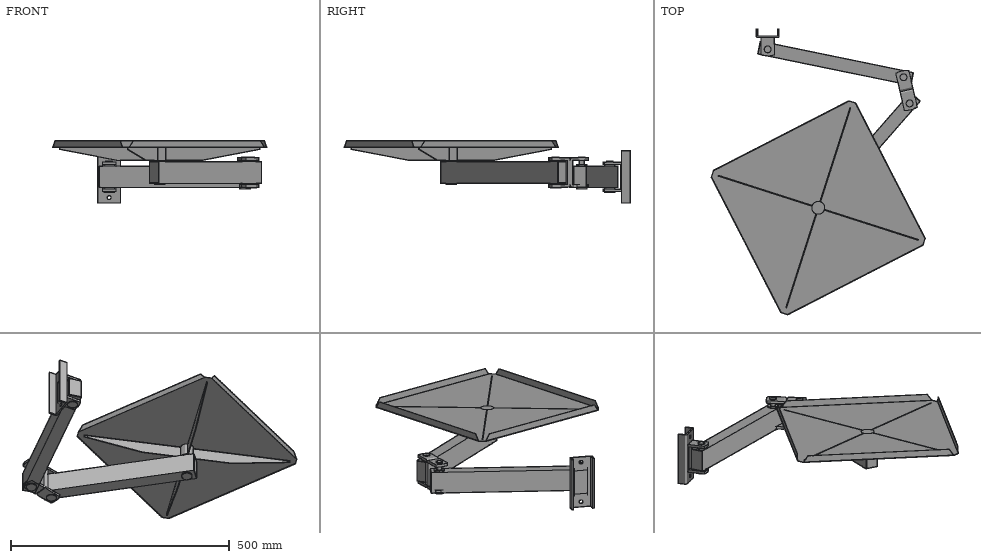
import cadquery as cq
import math

channel_width = 53.0
channel_depth = 20.0
channel_height = 120.0
channel_sheet = 4.0
channel_hole_diameter = 8.5
channel_hole_inset = 12.5

arm_span = 317.0
arm_overhang = 20.0
arm_width = 30.0
arm_height = 50.0
arm_end_chamfer = 1.0
bush_diameter = 24.0
bush_height = 3.0

fork_sheet = 6.0
fork_width = 31.0
fork_tip = 15.0
fork_tip_rise = 2.5
fork_reach = 31.0
pin_diameter = 12.0
pin_cap_diameter = 16.0
pin_head_diameter = 23.5
pin_end_height = 2.0
fork_inside = arm_height + 2 * bush_height
fork_outside = fork_inside + 2 * fork_sheet

tray_side = 371.5
tray_corner_chamfer = 12.0
tray_sheet = 1.0
rib_thickness = 2.0
flange_height = 16.0
flange_end_taper = 11.0
tube_diameter = 29.5
tube_length = 29.5
rib_half_length = 240.0
rib_half_flat = 103.5
rib_end_height = 4.5

first_arm_angle = -11.6
link_angle = -76.9
second_arm_angle = -131.2
tray_angle = 27.2
first_arm_level = channel_height / 2
second_arm_level = 70.0


def step(point, length, angle):
    """The point reached from `point` by going `length` in direction `angle`."""
    heading = math.radians(angle)
    return (point[0] + length * math.cos(heading), point[1] + length * math.sin(heading))


wall_pivot = (0, 0)
elbow_pivot = step(wall_pivot, arm_span, first_arm_angle)
link_pivot = step(elbow_pivot, 2 * fork_reach, link_angle)
tray_pivot = step(link_pivot, arm_span, second_arm_angle)
tube_bottom = second_arm_level + arm_height / 2 + bush_height


def placed(body, point, level, angle):
    """Turn a body about its own pivot axis and move that axis to a point."""
    return body.rotate((0, 0, 0), (0, 0, 1), angle).translate((point[0], point[1], level))


def disc(diameter, bottom, height):
    """Upright cylinder on the Z axis."""
    return cq.Workplane("XY").workplane(offset=bottom).circle(diameter / 2).extrude(height)


def make_channel():
    """Rail with sharp inner and rounded outer bends, and a screw hole near each end."""
    front = fork_reach - channel_sheet
    channel = (
        cq.Workplane("XY")
        .box(channel_width, channel_depth, channel_height, centered=(True, False, False))
        .edges("|Z and <Y")
        .fillet(channel_sheet)
    )
    hollow = (
        cq.Workplane("XY")
        .box(channel_width - 2 * channel_sheet, channel_depth, channel_height, centered=(True, False, False))
        .translate((0, channel_sheet, 0))
    )
    hole_levels = (channel_hole_inset, channel_height - channel_hole_inset)
    holes = (
        cq.Workplane("XZ")
        .pushPoints([(0, level) for level in hole_levels])
        .circle(channel_hole_diameter / 2)
        .extrude(-channel_depth)
    )
    return channel.cut(hollow).cut(holes).translate((0, front, 0))


def make_arm():
    """Bar along +X from one pivot to the next, centred in height."""
    arm = (
        cq.Workplane("XY")
        .box(arm_span + 2 * arm_overhang, arm_width, arm_height)
        .faces("<X or >X")
        .edges()
        .chamfer(arm_end_chamfer)
        .translate((arm_span / 2, 0, 0))
    )
    bush = disc(bush_diameter, -fork_inside / 2, fork_inside)
    return arm.union(bush).union(bush.translate((arm_span, 0, 0)))


def make_fork(has_head):
    """C bracket with its back at +X, and a pin across its two tabs on the Z axis."""
    shoulder = fork_tip - fork_tip_rise
    outline = (
        cq.Workplane("XY")
        .workplane(offset=-fork_outside / 2)
        .moveTo(fork_reach, -fork_width / 2)
        .lineTo(-shoulder, -fork_width / 2)
        .threePointArc((-fork_tip, 0), (-shoulder, fork_width / 2))
        .lineTo(fork_reach, fork_width / 2)
        .close()
        .extrude(fork_outside)
        .edges("|Y and >X")
        .fillet(fork_sheet)
    )
    mouth_length = fork_reach + fork_tip
    mouth = (
        cq.Workplane("XY")
        .box(mouth_length, fork_width, fork_inside)
        .translate((fork_reach - fork_sheet - mouth_length / 2, 0, 0))
    )
    fork = outline.cut(mouth)
    fork = fork.union(disc(pin_diameter, -fork_outside / 2, fork_outside))
    fork = fork.union(disc(pin_cap_diameter, fork_outside / 2, pin_end_height))
    if has_head:
        fork = fork.union(disc(pin_head_diameter, -fork_outside / 2 - pin_end_height, pin_end_height))
    return fork


def make_link():
    """Two forks joined back to back, with pins at the origin and further along +X."""
    elbow_fork = make_fork(False)
    far_fork = placed(make_fork(True), (2 * fork_reach, 0), 0, 180)
    return elbow_fork.union(far_fork)


def make_flange():
    """Upright flange along the -Y side of the tray, with tapered ends."""
    half_bottom = tray_side / 2 - tray_corner_chamfer
    half_top = half_bottom - flange_end_taper
    return (
        cq.Workplane("XZ")
        .polyline([
            (-half_bottom, 0),
            (half_bottom, 0),
            (half_top, flange_height),
            (-half_top, flange_height),
        ])
        .close()
        .extrude(tray_sheet)
        .translate((0, tray_sheet - tray_side / 2, tube_length))
    )


def make_rib():
    """Rib along the X axis, deepest in its middle."""
    end_level = tube_length - rib_end_height
    return (
        cq.Workplane("XZ")
        .polyline([
            (-rib_half_length, tube_length),
            (-rib_half_length, end_level),
            (-rib_half_flat, 0),
            (rib_half_flat, 0),
            (rib_half_length, end_level),
            (rib_half_length, tube_length),
        ])
        .close()
        .extrude(rib_thickness / 2, both=True)
    )


def make_support():
    """Tube standing on Z = 0, with two ribs crossing through it."""
    support = disc(tube_diameter, 0, tube_length)
    for diagonal in (45, 135):
        support = support.union(make_rib().rotate((0, 0, 0), (0, 0, 1), diagonal))
    return support


def make_tray():
    """Square sheet with cut corners and a flange on each side, lying on the top of the tube."""
    tray = (
        cq.Workplane("XY")
        .workplane(offset=tube_length)
        .rect(tray_side, tray_side)
        .extrude(tray_sheet)
        .edges("|Z")
        .chamfer(tray_corner_chamfer)
    )
    for quarter in range(4):
        tray = tray.union(make_flange().rotate((0, 0, 0), (0, 0, 1), 90 * quarter))
    return tray


wall_fork = placed(make_fork(True), wall_pivot, first_arm_level, 90)
link = placed(make_link(), elbow_pivot, second_arm_level, link_angle)

channel = make_channel().cut(wall_fork)

first_arm = placed(make_arm(), wall_pivot, first_arm_level, first_arm_angle)
first_arm = first_arm.cut(wall_fork).cut(link)
second_arm = placed(make_arm(), link_pivot, second_arm_level, second_arm_angle).cut(link)

support = placed(make_support(), tray_pivot, tube_bottom, tray_angle)
tray = placed(make_tray(), tray_pivot, tube_bottom, tray_angle)

result = cq.Compound.makeCompound([
    channel.val(),
    wall_fork.val(),
    first_arm.val(),
    link.val(),
    second_arm.val(),
    support.val(),
    tray.val(),
])